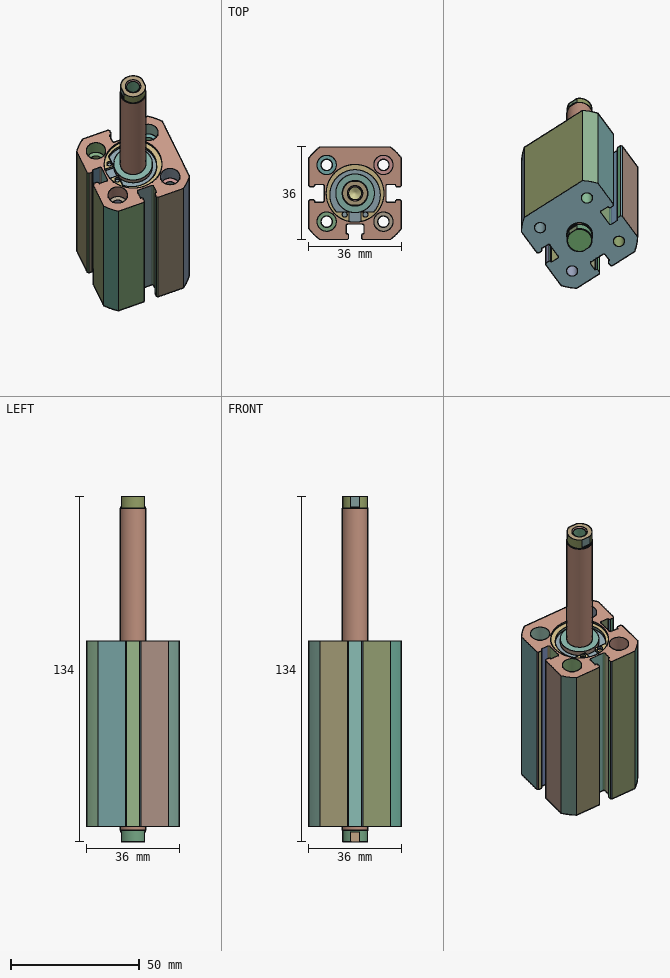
import cadquery as cq
import math

housing_width = 36.0
housing_height = 72.0
rod_top_reach = 56.0
rod_bottom_reach = 6.0

half_width = housing_width / 2
corner_arc_radius = 22.6

slot_opening = 5.0
slot_inner_width = 6.8
slot_depth = 6.0
slot_lip = 2.4
slot_corner_radius = 0.5
slot_lip_chamfer = 0.5

mount_offset = 11.0
mount_hole_diameter = 4.3
counterbore_diameter = 7.5
counterbore_depth = 7.0

recess_radius = 11.2
cover_thickness = 10.0
cover_hub_radius = 7.5
ring_depth = 0.8
ring_thickness = 1.2
ring_top = housing_height - ring_depth
cover_floor = ring_top - ring_thickness
cover_bottom = cover_floor - cover_thickness

ring_inner_radius = 9.8
ring_inner_offset = 0.65
ring_ear_inset = 7.2
ring_gap = 4.6
ring_hole_diameter = 2.0
ring_hole_x = 4.0
ring_hole_y = -8.25

rod_radius = 5.0
rod_end_radius = 4.85
rod_end_length = 4.4
rod_step_height = 0.3
flat_length = 4.0
flat_distance = 4.5
bottom_chamfer = 0.2
bore_radius = 2.5
bore_chamfer = 0.5
bore_depth = 12.0
drill_tip_angle = 118.0


def sensor_slot():
    """T-slot cutter running the full height, open towards -Y, with chamfered lips."""
    mouth = slot_opening / 2
    flare = mouth + slot_lip_chamfer
    inner = slot_inner_width / 2
    right_side = [
        (flare, 0),
        (mouth, slot_lip_chamfer),
        (mouth, slot_lip - slot_lip_chamfer),
        (flare, slot_lip),
        (inner, slot_lip),
        (inner, slot_depth),
    ]
    left_side = [(-x, y) for x, y in reversed(right_side)]
    return (
        cq.Workplane("XY", origin=(0, -half_width, 0))
        .polyline(right_side + left_side)
        .close()
        .extrude(housing_height)
        .edges("|Z and >Y")
        .fillet(slot_corner_radius)
    )


def make_housing():
    """Square body with turned corners, three T-slots, four mounting holes and the cover recess."""
    square = cq.Workplane("XY").rect(housing_width, housing_width).extrude(housing_height)
    body = square.intersect(cq.Workplane("XY").circle(corner_arc_radius).extrude(housing_height))
    for angle in (0, 90, -90):
        body = body.cut(sensor_slot().rotate((0, 0, 0), (0, 0, 1), angle))
    body = (
        body.faces(">Z")
        .workplane(origin=(0, 0, housing_height))
        .rect(2 * mount_offset, 2 * mount_offset, forConstruction=True)
        .vertices()
        .cboreHole(mount_hole_diameter, counterbore_diameter, counterbore_depth)
    )
    recess = (
        cq.Workplane("XY", origin=(0, 0, cover_bottom))
        .circle(recess_radius)
        .extrude(housing_height - cover_bottom)
    )
    rod_bore = cq.Workplane("XY").circle(rod_radius).extrude(housing_height)
    return body.cut(recess).cut(rod_bore)


def make_cover():
    """Plate at the bottom of the recess with a hub that rises to the top of the housing."""
    plate = (
        cq.Workplane("XY", origin=(0, 0, cover_bottom))
        .circle(recess_radius)
        .circle(rod_radius)
        .extrude(cover_thickness)
    )
    hub = (
        cq.Workplane("XY", origin=(0, 0, cover_floor))
        .circle(cover_hub_radius)
        .circle(rod_radius)
        .extrude(housing_height - cover_floor)
    )
    return plate.union(hub)


def make_retaining_ring():
    """Internal retaining ring, open towards -Y, with a plier hole in each ear."""
    base = cq.Workplane("XY", origin=(0, 0, cover_floor))
    disc = base.circle(recess_radius).extrude(ring_thickness)
    ear_stock = (
        base.center(0, -ring_ear_inset - recess_radius / 2)
        .rect(2 * recess_radius, recess_radius)
        .extrude(ring_thickness)
    )
    opening = base.center(0, -ring_inner_offset).circle(ring_inner_radius).extrude(ring_thickness)
    opening = opening.cut(ear_stock)
    gap = (
        base.center(0, -recess_radius / 2)
        .rect(ring_gap, recess_radius)
        .extrude(ring_thickness)
    )
    plier_holes = (
        base.pushPoints([(-ring_hole_x, ring_hole_y), (ring_hole_x, ring_hole_y)])
        .circle(ring_hole_diameter / 2)
        .extrude(ring_thickness)
    )
    return disc.cut(opening).cut(gap).cut(plier_holes)


def make_rod():
    """Rod through the housing, reduced and flatted at both ends, with a drilled hole in the top."""
    bottom = -rod_bottom_reach
    top = housing_height + rod_top_reach
    bore_end = top - bore_depth
    tip_end = bore_end - bore_radius / math.tan(math.radians(drill_tip_angle / 2))
    profile = [
        (0, bottom),
        (rod_end_radius - bottom_chamfer, bottom),
        (rod_end_radius, bottom + bottom_chamfer),
        (rod_end_radius, bottom + rod_end_length),
        (rod_radius, bottom + rod_end_length + rod_step_height),
        (rod_radius, top - rod_end_length - rod_step_height),
        (rod_end_radius, top - rod_end_length),
        (rod_end_radius, top),
        (bore_radius + bore_chamfer, top),
        (bore_radius, top - bore_chamfer),
        (bore_radius, bore_end),
        (0, tip_end),
    ]
    rod = cq.Workplane("YZ").polyline(profile).close().revolve(360, (0, 0, 0), (0, 1, 0))
    for end_z in (bottom + flat_length / 2, top - flat_length / 2):
        for side in (-1, 1):
            flat_cutter = cq.Workplane("XY").box(2 * rod_radius, rod_radius, flat_length)
            rod = rod.cut(flat_cutter.translate((0, side * (flat_distance + rod_radius / 2), end_z)))
    return rod


housing = make_housing()
cover = make_cover()
retaining_ring = make_retaining_ring()
rod = make_rod()

result = cq.Compound.makeCompound([housing.val(), cover.val(), retaining_ring.val(), rod.val()])